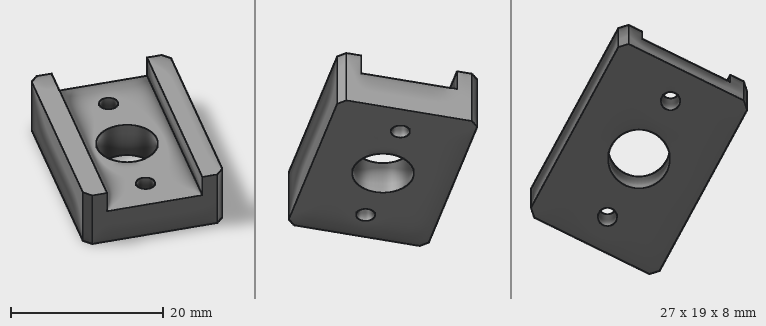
import cadquery as cq

length = 27.0
width = 19.0
height = 8.0
corner_chamfer = 1.0

channel_width = 13.0
channel_depth = 3.0
floor_height = height - channel_depth

center_hole_diameter = 8.1
screw_hole_diameter = 2.5
screw_hole_spacing = 18.0

block = (
    cq.Workplane("XY")
    .box(length, width, height, centered=(True, True, False))
    .edges("|Z")
    .chamfer(corner_chamfer)
)

channel = (
    cq.Workplane("XY")
    .workplane(offset=floor_height)
    .rect(length, channel_width)
    .extrude(channel_depth)
)

center_hole = cq.Workplane("XY").circle(center_hole_diameter / 2).extrude(height)

screw_holes = (
    cq.Workplane("XY")
    .pushPoints([(-screw_hole_spacing / 2, 0), (screw_hole_spacing / 2, 0)])
    .circle(screw_hole_diameter / 2)
    .extrude(height)
)

result = block.cut(channel).cut(center_hole).cut(screw_holes)